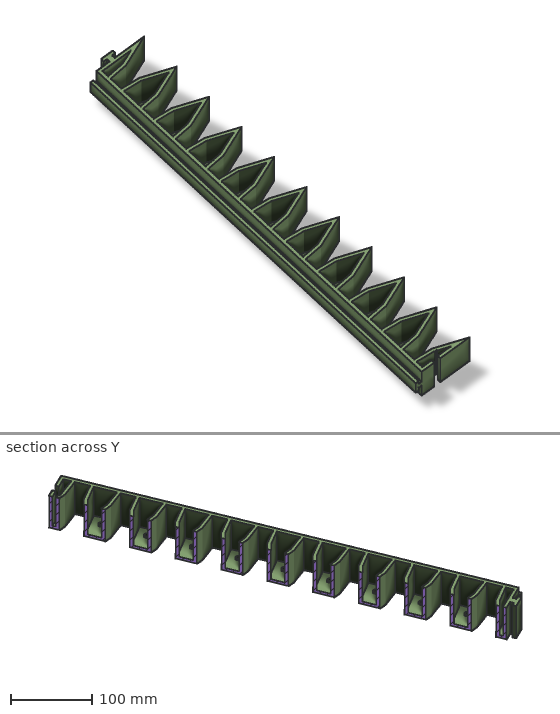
import cadquery as cq
import math

total_length = 613
total_depth = 88.0
height = 51.0

tee_reach = 10.0
tee_head_thickness = 5.0
rail_head_width = 20.0
key_head_width = 19.0
slot_head_width = 20.0
tee_neck_width = 8.5
slot_mouth_width = 10.0

wall = 5.0
bar_thickness = 5.5
bar_length = total_length - tee_reach
bar_front = tee_reach
bar_back = bar_front + bar_thickness

tooth_gaps = 10
pitch = bar_length / tooth_gaps
tooth_length = total_depth - bar_back
base_half_width = 20.0
shoulder_half_width = 18.0
shoulder_rise = 27.0
floor_thickness = 5.0
tip_half_angle = math.atan(shoulder_half_width / (tooth_length - shoulder_rise))
pocket_tip_setback = wall / math.sin(tip_half_angle)
pocket_shoulder_drop = wall * math.tan(tip_half_angle / 2)

hole_rise = 12.0
hole_diameter = 9.0
end_hole_diameter = 6.0
end_hole_inset = 10.5

joint_rise = 26.0
joint_y = bar_front + joint_rise
slot_depth = 12.0


def box(x_min, x_max, y_min, y_max, z_min=0, z_max=height):
    """Axis-aligned block given by its limits."""
    block = cq.Workplane("XY").box(x_max - x_min, y_max - y_min, z_max - z_min, centered=False)
    return block.translate((x_min, y_min, z_min))


def pointed_prism(center_x, base_half, shoulder_half, shoulder_y, tip_y, z_min):
    """Symmetric pointed prism standing on the back face of the bar."""
    outline = [
        (center_x - base_half, bar_back),
        (center_x - shoulder_half, shoulder_y),
        (center_x, tip_y),
        (center_x + shoulder_half, shoulder_y),
        (center_x + base_half, bar_back),
    ]
    prism = cq.Workplane("XY").polyline(outline).close().extrude(height - z_min)
    return prism.translate((0, 0, z_min))


def tooth(center_x):
    return pointed_prism(
        center_x,
        base_half_width,
        shoulder_half_width,
        bar_back + shoulder_rise,
        total_depth,
        0,
    )


def tooth_pocket(center_x):
    """Open-topped hollow that leaves an even wall and a floor."""
    return pointed_prism(
        center_x,
        base_half_width - wall,
        shoulder_half_width - wall,
        bar_back + shoulder_rise - pocket_shoulder_drop,
        total_depth - pocket_tip_setback,
        floor_thickness,
    )


def floor_hole(center_x, diameter):
    hole = cq.Workplane("XY").circle(diameter / 2).extrude(height)
    return hole.translate((center_x, bar_back + hole_rise, 0))


body = box(0, bar_length, bar_front, bar_back)
hollow = None
for index in range(tooth_gaps + 1):
    tooth_x = index * pitch
    body = body.union(tooth(tooth_x))
    pocket = tooth_pocket(tooth_x)
    hollow = pocket if hollow is None else hollow.union(pocket)
body = body.intersect(box(0, bar_length, 0, total_depth))

hollow = hollow.intersect(box(wall, bar_length - wall, 0, total_depth))
body = body.cut(hollow)

for index in range(1, tooth_gaps):
    body = body.cut(floor_hole(index * pitch, hole_diameter))
body = body.cut(floor_hole(end_hole_inset, end_hole_diameter))

rail_z = height / 2
rail_neck = box(
    0, bar_length, 0, bar_front,
    rail_z - tee_neck_width / 2, rail_z + tee_neck_width / 2,
)
rail_head = box(
    0, bar_length, 0, tee_head_thickness,
    rail_z - rail_head_width / 2, rail_z + rail_head_width / 2,
)
body = body.union(rail_neck).union(rail_head)

key_neck = box(-tee_reach, 0, joint_y - tee_neck_width / 2, joint_y + tee_neck_width / 2)
key_head = box(
    -tee_reach, -tee_reach + tee_head_thickness,
    joint_y - key_head_width / 2, joint_y + key_head_width / 2,
)
body = body.union(key_neck).union(key_head)

slot_mouth = box(
    bar_length - slot_depth, bar_length,
    joint_y - slot_mouth_width / 2, joint_y + slot_mouth_width / 2,
)
slot_head = box(
    bar_length - slot_depth, bar_length - wall,
    joint_y - slot_head_width / 2, joint_y + slot_head_width / 2,
)
result = body.cut(slot_mouth).cut(slot_head)